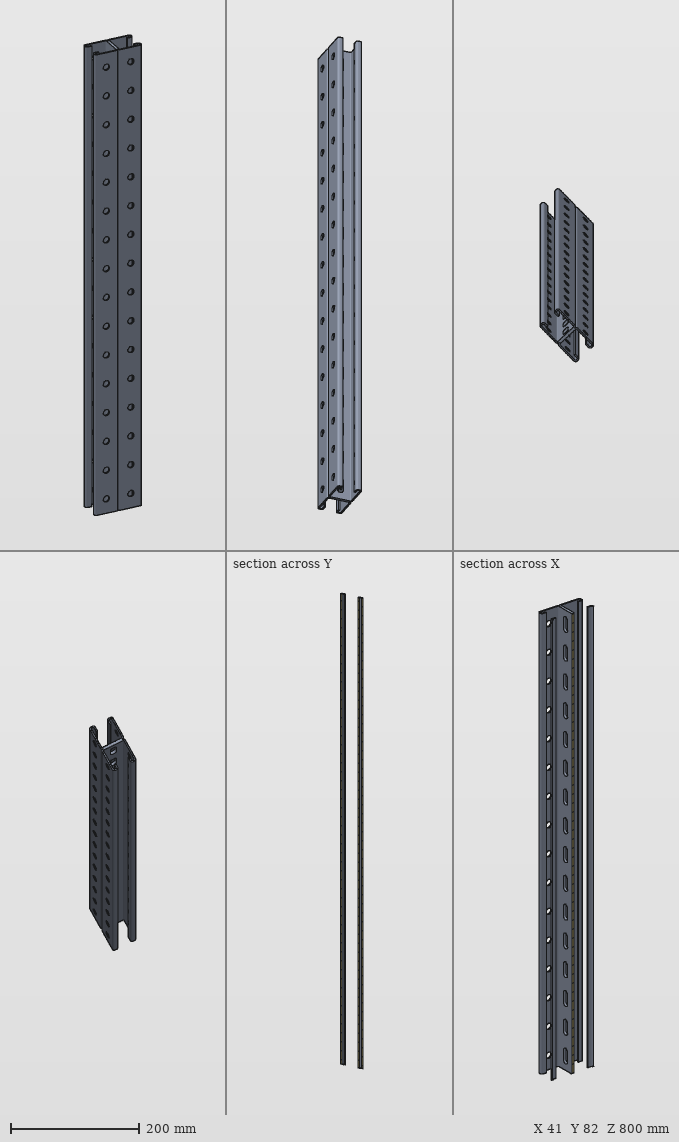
import cadquery as cq

width = 41.0
channel_depth = 41.0
length = 800.0
sheet = 2.5
opening = 22.0
lip_depth = 10.0
bend_outer = 3.5
bend_inner = bend_outer - sheet

hole_pitch = 50.0
hole_count = int(length / hole_pitch)
slot_length = 27.0
slot_width = 10.5
along_z = 90.0
side_hole_diameter = 10.5
side_hole_offset = 21.5

hole_heights = [(i - (hole_count - 1) / 2) * hole_pitch for i in range(hole_count)]


def block(x_min, x_max, y_min, y_max):
    """Full-length rectangular bar between the given X and Y limits."""
    bar = cq.Workplane("XY").box(x_max - x_min, y_max - y_min, length)
    return bar.translate(((x_min + x_max) / 2, (y_min + y_max) / 2, 0))


def bent_channel():
    """Channel on the +Y side, its back on the joint plane and its mouth facing +Y."""
    half_width = width / 2
    half_opening = opening / 2
    inner_half = half_width - sheet
    lip_inside = half_opening + sheet
    lip_end = channel_depth - lip_depth
    flange_inside = channel_depth - sheet

    outside = block(-half_width, half_width, 0, channel_depth)
    mouth = block(-half_opening, half_opening, sheet, channel_depth)
    outside = outside.cut(mouth).edges("|Z").edges("<X or >X or >Y").fillet(bend_outer)

    cavity = block(-inner_half, inner_half, sheet, lip_end)
    cavity = cavity.edges("|Z and <Y").fillet(bend_inner)
    channel = outside.cut(cavity)

    for x_min, x_max in ((-inner_half, -lip_inside), (lip_inside, inner_half)):
        lip_gap = block(x_min, x_max, lip_end, flange_inside)
        lip_gap = lip_gap.edges("|Z and >Y").fillet(bend_inner)
        channel = channel.cut(lip_gap)
    return channel


def back_slots():
    """Row of round-ended slots through both channel backs."""
    points = [(0, z) for z in hole_heights]
    slots = cq.Workplane("XZ").pushPoints(points).slot2D(slot_length, slot_width, along_z)
    return slots.extrude(2 * sheet, both=True)


def side_holes():
    """Rows of round holes through both side walls of each channel."""
    points = [(y, z) for y in (-side_hole_offset, side_hole_offset) for z in hole_heights]
    holes = cq.Workplane("YZ").pushPoints(points).circle(side_hole_diameter / 2)
    return holes.extrude(width, both=True)


channel = bent_channel()
double_channel = channel.union(channel.mirror("XZ"))
result = double_channel.cut(back_slots()).cut(side_holes())